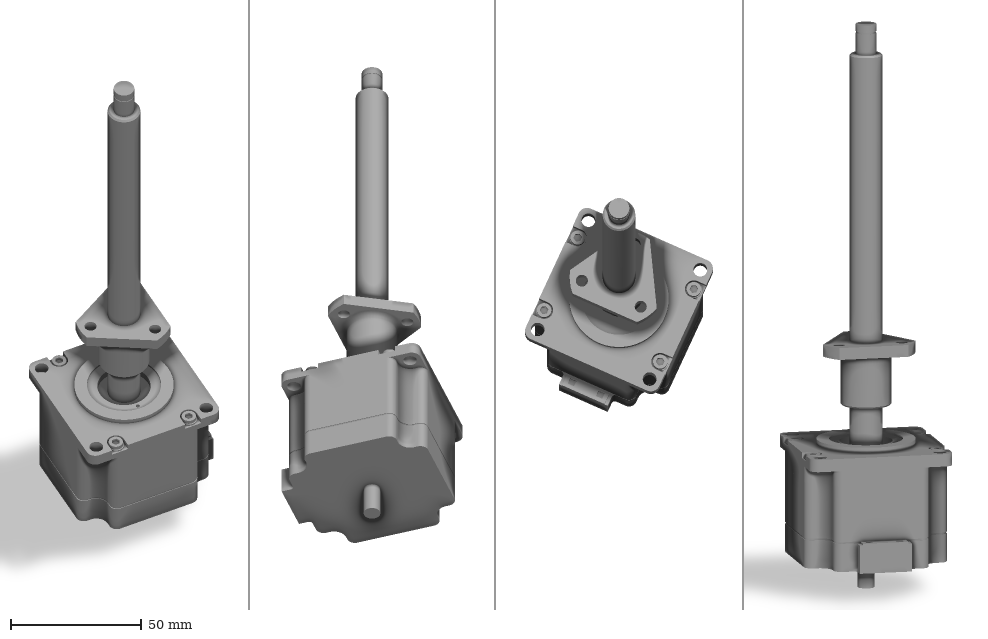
import cadquery as cq
import math

frame_width = 56.2
half_frame = frame_width / 2
plate_corner_radius = 3.5
frame_height = 44.3
bell_bottom = 33.5
relief_top = 39.5

mount_hole_offset = 23.5
mount_hole_diameter = 5.3
relief_depth = 9.5
relief_lip_radius = 3.0

groove_bottom = 11.0
groove_width = 0.7
groove_depth = 0.2

pilot_diameter = 38.0
pilot_height = 2.0
pilot_top = frame_height + pilot_height
ring_recess_diameter = 28.5
ring_recess_depth = 0.9
bore_diameter = 20.5
bore_depth = 3.7
bore_floor = pilot_top - bore_depth
spanner_hole_diameter = 1.5
spanner_hole_offset = 12.0
spanner_hole_depth = 0.9

screw_x = 24.5
screw_y = 15.6
screw_pocket_diameter = 6.8
screw_head_diameter = 5.5
screw_flange_diameter = 6.4
screw_flange_thickness = 0.7
screw_head_height = 2.2
screw_shank_diameter = 3.0
screw_socket_width = 2.9
screw_socket_depth = 1.3

connector_width = 20.5
connector_center_width = 17.8
connector_reach = 5.0
connector_top = groove_bottom + groove_width
connector_flare = 1.3
latch_x = 6.0
latch_width = 2.6
latch_length = 2.2
latch_depth = 0.7
latch_wall = 1.5

shaft_length = 220.2
rear_shaft_diameter = 6.4
rear_shaft_length = 12.0
lead_diameter = 12.5
lead_chamfer = 0.7
journal_diameter = 8.0
journal_length = 11.7
ring_groove_width = 0.7
ring_groove_depth = 0.2
ring_groove_offset = 2.9
shaft_top = shaft_length - rear_shaft_length
lead_top = shaft_top - journal_length

nut_bottom = 59.5
nut_diameter = 19.5
nut_chamfer = 0.7
nut_fillet = 1.8
flange_bottom = 80.0
flange_thickness = 4.6
flange_top = flange_bottom + flange_thickness
flange_radius = 19.0
flange_side_distance = 13.2
flange_hole_circle_radius = 14.3
flange_hole_diameter = 4.6

frame_corners = [(-1, -1), (-1, 1), (1, -1), (1, 1)]
screw_points = [(sx * screw_x, sy * screw_y) for sx, sy in frame_corners]
mount_points = [(sx * mount_hole_offset, sy * mount_hole_offset) for sx, sy in frame_corners]


def cylinder(diameter, bottom, top, points=((0, 0),)):
    """Upright cylinders between two heights, one at each XY point."""
    return (
        cq.Workplane("XY")
        .workplane(offset=bottom)
        .pushPoints(list(points))
        .circle(diameter / 2)
        .extrude(top - bottom)
    )


def block(width, length, bottom, top, center=(0, 0)):
    """Upright rectangular block between two heights."""
    return (
        cq.Workplane("XY")
        .workplane(offset=bottom)
        .center(*center)
        .rect(width, length)
        .extrude(top - bottom)
    )


def relieved_block(bottom, top, inset=0.0):
    """Square block with a rounded notch cut into each vertical corner."""
    wall = half_frame - relief_depth - inset
    notch_radius = mount_hole_offset - wall
    notch_center = (wall + half_frame) / 2
    notch_size = half_frame - wall
    body = block(frame_width - 2 * inset, frame_width - 2 * inset, bottom, top)
    for sx, sy in frame_corners:
        center = (sx * notch_center, sy * notch_center)
        notch = block(notch_size, notch_size, bottom, top, center)
        inner_edge = cq.selectors.NearestToPointSelector((sx * wall, sy * wall, (bottom + top) / 2))
        body = body.cut(notch.edges("|Z").edges(inner_edge).fillet(notch_radius))
    lip_edges = cq.Workplane("XY")
    for sx, sy in frame_corners:
        for x, y in ((half_frame - inset, wall), (wall, half_frame - inset)):
            point = (sx * x, sy * y, (bottom + top) / 2)
            lip_edges = lip_edges.add(body.edges("|Z").edges(cq.selectors.NearestToPointSelector(point)))
    return body.newObject(lip_edges.vals()).fillet(relief_lip_radius)


def make_front_bell():
    plate = block(frame_width, frame_width, relief_top, frame_height)
    plate = plate.edges("|Z").fillet(plate_corner_radius)
    bell = plate.union(relieved_block(bell_bottom, relief_top))
    bell = bell.union(cylinder(pilot_diameter, frame_height, pilot_top))

    bell = bell.cut(cylinder(mount_hole_diameter, relief_top, frame_height, mount_points))
    ring_floor = pilot_top - ring_recess_depth
    bell = bell.cut(cylinder(ring_recess_diameter, ring_floor, pilot_top))
    bell = bell.cut(cylinder(bore_diameter, bore_floor, pilot_top))
    spanner_points = [(-spanner_hole_offset, 0), (spanner_hole_offset, 0)]
    spanner_floor = ring_floor - spanner_hole_depth
    bell = bell.cut(cylinder(spanner_hole_diameter, spanner_floor, ring_floor, spanner_points))
    bell = bell.cut(cylinder(rear_shaft_diameter, bell_bottom, bore_floor))

    bell = bell.cut(cylinder(screw_shank_diameter, bell_bottom, frame_height, screw_points))
    pocket_floor = frame_height - screw_head_height
    bell = bell.cut(cylinder(screw_pocket_diameter, pocket_floor, frame_height, screw_points))
    runout = half_frame - screw_x
    for x, y in screw_points:
        runout_x = math.copysign(screw_x + runout / 2, x)
        bell = bell.cut(block(runout, screw_pocket_diameter, pocket_floor, frame_height, (runout_x, y)))
    return bell


def make_connector():
    reach_end = half_frame + connector_reach
    shoulder_center = (0, half_frame + connector_reach / 2)
    connector = block(connector_width, connector_reach, 0, groove_bottom, shoulder_center)
    connector = connector.union(
        block(connector_center_width, connector_reach, 0, connector_top, shoulder_center)
    )

    for side in (-1, 1):
        root_x = side * connector_width / 2
        flare = (
            cq.Workplane("XY")
            .moveTo(root_x, half_frame)
            .lineTo(root_x + side * connector_flare, half_frame)
            .radiusArc((root_x, half_frame + connector_flare), side * connector_flare)
            .close()
            .extrude(groove_bottom)
        )
        connector = connector.union(flare)

        latch_center = (side * latch_x, reach_end - latch_wall - latch_length / 2)
        connector = connector.cut(
            block(latch_width, latch_length, connector_top - latch_depth, connector_top, latch_center)
        )
    return connector


def make_motor_body():
    """Stator and rear cover, with the connector."""
    groove_top = groove_bottom + groove_width
    body = relieved_block(0, groove_bottom)
    body = body.union(relieved_block(groove_bottom, groove_top, groove_depth))
    body = body.union(relieved_block(groove_top, bell_bottom))
    body = body.union(make_connector())
    return body.cut(cylinder(rear_shaft_diameter, 0, bell_bottom))


def make_lead_screw():
    rear_shaft = cylinder(rear_shaft_diameter, -rear_shaft_length, bore_floor)
    lead = cylinder(lead_diameter, bore_floor, lead_top).faces(">Z").chamfer(lead_chamfer)
    journal = cylinder(journal_diameter, lead_top, shaft_top)
    groove_top = shaft_top - ring_groove_offset
    ring_groove = cylinder(journal_diameter, groove_top - ring_groove_width, groove_top).cut(
        cylinder(journal_diameter - 2 * ring_groove_depth, groove_top - ring_groove_width, groove_top)
    )
    return rear_shaft.union(lead).union(journal.cut(ring_groove))


def make_nut():
    triangle = (
        cq.Workplane("XY")
        .workplane(offset=flange_bottom)
        .transformed(rotate=(0, 0, -90))
        .polygon(3, 4 * flange_side_distance)
        .extrude(flange_thickness)
    )
    flange = cylinder(2 * flange_radius, flange_bottom, flange_top).intersect(triangle)
    hole_points = []
    for angle in (-90, 30, 150):
        x = flange_hole_circle_radius * math.cos(math.radians(angle))
        y = flange_hole_circle_radius * math.sin(math.radians(angle))
        hole_points.append((x, y))
    flange = flange.cut(cylinder(flange_hole_diameter, flange_bottom, flange_top, hole_points))

    barrel = cylinder(nut_diameter, nut_bottom, flange_bottom).faces("<Z").chamfer(nut_chamfer)
    nut_radius = nut_diameter / 2
    fillet_ring = (
        cq.Workplane("XZ")
        .moveTo(nut_radius, flange_bottom)
        .lineTo(nut_radius + nut_fillet, flange_bottom)
        .radiusArc((nut_radius, flange_bottom - nut_fillet), -nut_fillet)
        .close()
        .revolve(360, (0, 0, 0), (0, 1, 0))
    )
    nut = flange.union(barrel).union(fillet_ring)
    return nut.cut(cylinder(lead_diameter, nut_bottom, flange_top))


def make_frame_screw(x, y):
    """Socket-head bolt with a flange under its head, at one XY point."""
    head_bottom = frame_height - screw_head_height
    point = [(x, y)]
    head = cylinder(screw_head_diameter, head_bottom, frame_height, point)
    flange = cylinder(screw_flange_diameter, head_bottom, head_bottom + screw_flange_thickness, point)
    shank = cylinder(screw_shank_diameter, bell_bottom, head_bottom, point)
    socket = (
        cq.Workplane("XY")
        .workplane(offset=frame_height - screw_socket_depth)
        .center(x, y)
        .polygon(6, screw_socket_width, circumscribed=True)
        .extrude(screw_socket_depth)
    )
    return head.union(flange).union(shank).cut(socket)


front_bell = make_front_bell()
motor_body = make_motor_body()
lead_screw = make_lead_screw()
nut = make_nut()
frame_screws = [make_frame_screw(x, y).val() for x, y in screw_points]

result = cq.Compound.makeCompound(
    [front_bell.val(), motor_body.val(), lead_screw.val(), nut.val(), *frame_screws]
)